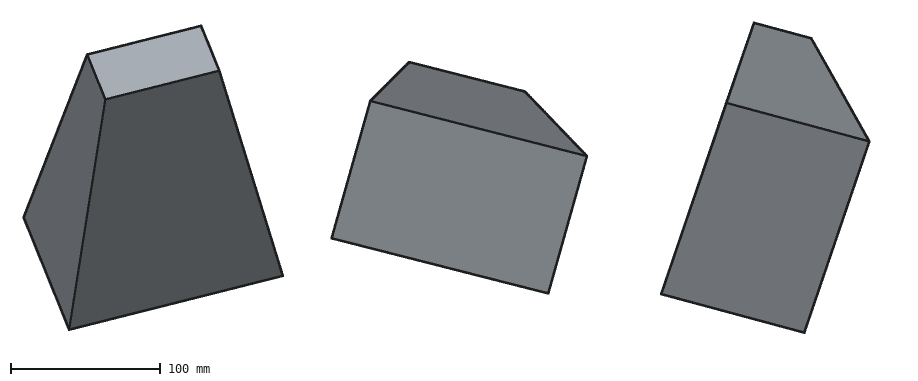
import cadquery as cq

height = 200
base_width = 100
base_depth = 150
top_width = 40
top_depth = 80

result = (
    cq.Workplane("XY")
    .rect(base_width, base_depth)
    .workplane(offset=height)
    .rect(top_width, top_depth)
    .loft(ruled=True, combine=True)
)